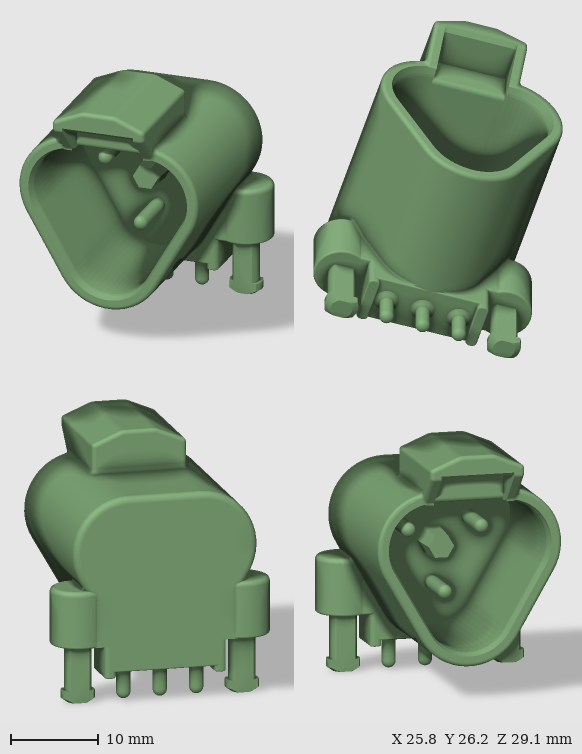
import cadquery as cq
import math


overall_height = 29.1

pin_half_pitch = 4.3
pin_radius = 0.8
pin_ring_radius = pin_half_pitch / math.cos(math.radians(30))
pin_tip_y = -12.22
pin_collar_radius = 1.4
pin_collar_height = 0.47

housing_length = 22.5
housing_corner_radius = 6.55
rear_round = 0.79
lip_round = 0.5
lip_width = 1.22
wall = 1.55
mouth_taper_depth = 1.05
mouth_blend_round = 1.15
floor_y = -5.65
housing_top = pin_ring_radius / 2 + housing_corner_radius
cavity_top = housing_top - wall

post_base_width = 3.05
post_tip_width = 2.6
post_height = 4.35

base_depth = 5.65
ear_x = 9.7
ear_y = -2.82
ear_radius = 3.2
ear_top = -1.77
ear_bottom = -8.47
web_top = -2.9
ear_top_round = 0.58
ear_bottom_round = 0.25
block_half_width = 7.15
block_bottom = -pin_ring_radius - housing_corner_radius
foot_bottom = -12.25
foot_width = 1.35
foot_round = 0.55
foot_edge_round = 0.17
blend_round = 0.23

leg_bottom = -15.3
leg_radius = 1.57
leg_thickness = 2.25
head_radius = 1.95
head_tip_radius = 1.25
head_height = 1.4
head_chamfer_height = 0.5

tab_top = leg_bottom + overall_height
tab_shoulder = 12.3
tab_half_width = 5.55
tab_half_flat = 2.0
tab_rear_y = -11.65
tab_front_y = -25.85
tab_nose_bottom = 11.17
tab_ridge_round = 1.75
tab_round = 0.5
tab_root_round = 0.5

recess_half_width = pin_half_pitch
recess_face_y = -20.95
recess_roof_front = 11.6
recess_chamfer_run = 0.58
recess_roof_rear = 11.17
recess_sill_round = 0.55


def prism_along_y(sketch_points, y_front, y_rear):
    """Extrude an X-Z polygon between two Y positions."""
    return (
        cq.Workplane("XZ", origin=(0, y_rear, 0))
        .polyline(sketch_points)
        .close()
        .extrude(y_rear - y_front)
    )


def box_between(x0, x1, y0, y1, z0, z1):
    """Axis-aligned box from its limits."""
    return cq.Workplane("XY").box(x1 - x0, y1 - y0, z1 - z0, centered=False).translate((x0, y0, z0))


def pin_positions():
    """(x, z) of the three pins: two above, one below."""
    upper_z = pin_ring_radius / 2
    return [(-pin_half_pitch, upper_z), (pin_half_pitch, upper_z), (0, -pin_ring_radius)]


def rounded_triangle(radius, y):
    """Outline at a constant distance from the pin triangle, on the X-Z plane at y."""
    upper_z = pin_ring_radius / 2
    c, s = math.cos(math.radians(30)), math.sin(math.radians(30))
    return (
        cq.Workplane("XZ", origin=(0, y, 0))
        .moveTo(-pin_half_pitch, upper_z + radius)
        .lineTo(pin_half_pitch, upper_z + radius)
        .threePointArc(
            (pin_half_pitch + radius * c, upper_z + radius * s),
            (pin_half_pitch + radius * c, upper_z - radius * s),
        )
        .lineTo(radius * c, -pin_ring_radius - radius * s)
        .threePointArc((0, -pin_ring_radius - radius), (-radius * c, -pin_ring_radius - radius * s))
        .lineTo(-pin_half_pitch - radius * c, upper_z - radius * s)
        .threePointArc(
            (-pin_half_pitch - radius * c, upper_z + radius * s),
            (-pin_half_pitch, upper_z + radius),
        )
        .close()
    )


def housing_shell():
    """Solid outer body with rounded rear and mouth edges."""
    body = rounded_triangle(housing_corner_radius, 0).extrude(housing_length)
    return body.faces(">Y").edges().fillet(rear_round).faces("<Y").edges().fillet(lip_round)


def cavity():
    """Straight bore with a wider, tapered mouth."""
    depth = housing_length + floor_y
    bore = rounded_triangle(housing_corner_radius - wall, floor_y).extrude(depth)
    taper_angle = math.degrees(math.atan((wall - lip_width) / mouth_taper_depth))
    mouth_y = -housing_length + mouth_taper_depth
    mouth = rounded_triangle(housing_corner_radius - wall, mouth_y).extrude(
        mouth_taper_depth, taper=-taper_angle
    )
    void = bore.union(mouth)
    reach = overall_height
    margin = 0.03
    seam = cq.selectors.BoxSelector(
        (-reach, mouth_y - margin, -reach), (reach, mouth_y + margin, reach), boundingbox=True
    )
    return void.edges(seam).fillet(mouth_blend_round)


def tab():
    """Overhanging latch tab with a gabled top and a 45 degree underside."""
    root_z = tab_nose_bottom - (-housing_length - tab_front_y)
    gable = [
        (-tab_half_width, 0),
        (-tab_half_width, tab_shoulder),
        (-tab_half_flat, tab_top),
        (tab_half_flat, tab_top),
        (tab_half_width, tab_shoulder),
        (tab_half_width, 0),
    ]
    side = [
        (tab_rear_y, tab_top),
        (tab_front_y, tab_top),
        (tab_front_y, tab_nose_bottom),
        (-housing_length, root_z),
        (tab_rear_y, root_z),
    ]
    front_shape = prism_along_y(gable, tab_front_y, tab_rear_y)
    front_shape = front_shape.edges("|Y and >Z").fillet(tab_ridge_round)
    side_shape = cq.Workplane("YZ").polyline(side).close().extrude(tab_half_width, both=True)
    solid = front_shape.intersect(side_shape)
    return solid.edges("not <Z").fillet(tab_round)


def housing_with_tab():
    """Housing and tab joined, with a rounded corner along the sides and rear of the tab root."""
    joined = housing_shell().union(tab())
    margin = 0.3
    root = cq.selectors.BoxSelector(
        (-tab_half_width - margin, -housing_length + lip_round, housing_top - margin),
        (tab_half_width + margin, tab_rear_y + margin, housing_top + margin),
    )
    return joined.edges(root).fillet(tab_root_round)


def latch_recess():
    """Pocket between the two tab ribs, open to the mouth and to the cavity."""
    outline = [
        (tab_front_y, recess_roof_front),
        (tab_front_y + recess_chamfer_run, recess_roof_rear),
        (recess_face_y, recess_roof_rear),
        (recess_face_y, cavity_top),
        (tab_front_y, cavity_top),
    ]
    pocket = cq.Workplane("YZ").polyline(outline).close().extrude(recess_half_width, both=True)
    r = recess_sill_round
    sill = box_between(
        -recess_half_width, recess_half_width,
        recess_face_y, recess_face_y + r,
        cavity_top, cavity_top + r,
    )
    sill_round = (
        cq.Workplane("YZ")
        .center(recess_face_y + r, cavity_top + r)
        .circle(r)
        .extrude(recess_half_width, both=True)
    )
    return pocket.union(sill.cut(sill_round))


def mounting_base():
    """Block under the housing with two ears and two foot rails."""
    upper = box_between(-ear_x, ear_x, -base_depth, 0, ear_bottom, web_top)
    upper = upper.edges("<Y and <Z").fillet(ear_bottom_round)
    block = box_between(-block_half_width, block_half_width, -base_depth, 0, block_bottom, web_top)
    block = block.edges("|Z").fillet(foot_round).faces("<Z").edges().fillet(foot_edge_round)
    base = upper.union(block)
    for side in (-1, 1):
        ear = (
            cq.Workplane("XY", origin=(side * ear_x, ear_y, ear_bottom))
            .circle(ear_radius)
            .extrude(ear_top - ear_bottom)
            .faces(">Z").edges().fillet(ear_top_round)
            .faces("<Z").edges().fillet(ear_bottom_round)
        )
        foot_x = side * (block_half_width - foot_width / 2)
        foot = box_between(
            foot_x - foot_width / 2, foot_x + foot_width / 2, -base_depth, 0, foot_bottom, web_top
        )
        foot = foot.edges("|Z").fillet(foot_round).faces("<Z").edges().fillet(foot_edge_round)
        base = base.union(ear).union(foot)
    return base


def snap_leg(side):
    """Round leg with a barbed head, flattened front and rear."""
    head_top = leg_bottom + head_height
    root_z = ear_bottom + ear_bottom_round
    outline = [
        (0, leg_bottom),
        (head_tip_radius, leg_bottom),
        (head_radius, leg_bottom + head_chamfer_height),
        (head_radius, head_top),
        (leg_radius, head_top),
        (leg_radius, root_z),
        (0, root_z),
    ]
    leg = cq.Workplane("XZ").polyline(outline).close().revolve(360, (0, 0), (0, 1))
    half = leg_thickness / 2
    flats = box_between(-head_radius, head_radius, -half, half, leg_bottom, 0)
    return leg.intersect(flats).translate((side * ear_x, ear_y, 0))


def base_blend():
    """Rounded inner corner where the ears and the web meet the housing wall."""
    overrun = 1.45
    over_rear = overrun
    over_bottom = foot_bottom - overrun
    wall_body = rounded_triangle(housing_corner_radius, over_rear).extrude(housing_length)
    support = box_between(-ear_x, ear_x, -base_depth, over_rear, over_bottom, web_top)
    for side in (-1, 1):
        x = side * ear_x
        ear = (
            cq.Workplane("XY", origin=(x, ear_y, over_bottom))
            .circle(ear_radius)
            .extrude(ear_top - over_bottom)
            .faces(">Z").edges().fillet(ear_top_round)
        )
        rear = box_between(x - ear_radius, x + ear_radius, ear_y, over_rear, over_bottom, ear_top)
        support = support.union(ear).union(rear)

    skin = wall_body.val().Shells()[0]
    touching = 0.003

    def on_wall(edge):
        beside_support = ear_y - ear_radius < edge.Center().y < 0
        middle = cq.Vertex.makeVertex(*edge.positionAt(0.5).toTuple())
        return beside_support and skin.distance(middle) < touching

    joined = wall_body.union(support)
    corners = [edge for edge in joined.edges().vals() if on_wall(edge)]
    rounded = joined.newObject(corners).fillet(blend_round)

    front = ear_y - ear_radius - blend_round
    clear_x = block_half_width - foot_round
    ear_zone = box_between(
        -ear_x, ear_x, front, -rear_round, ear_bottom + ear_bottom_round, ear_top + 2 * blend_round
    )
    block_zone = box_between(-clear_x, clear_x, front, -rear_round, block_bottom + foot_edge_round, 0)
    return rounded.intersect(ear_zone.union(block_zone))


def contact_pin(x, z):
    """Horizontal contact in the cavity with a domed tip."""
    dome_y = pin_tip_y + pin_radius
    shaft = cq.Workplane("XZ", origin=(x, ear_y, z)).circle(pin_radius).extrude(ear_y - dome_y)
    dome = cq.Workplane("XY", origin=(x, dome_y, z)).sphere(pin_radius)
    return shaft.union(dome)


def solder_tail(x):
    """Vertical tail below the block with a flared collar and a domed end."""
    r = pin_radius
    diagonal = r * math.sqrt(0.5)
    tail = (
        cq.Workplane("XZ")
        .moveTo(0, leg_bottom)
        .threePointArc((diagonal, leg_bottom + r - diagonal), (r, leg_bottom + r))
        .lineTo(r, block_bottom - pin_collar_height)
        .lineTo(pin_collar_radius, block_bottom)
        .lineTo(0, block_bottom)
        .close()
        .revolve(360, (0, 0), (0, 1))
    )
    return tail.translate((x, ear_y, 0))


def hex_post():
    """Tapered hexagonal post at the centre of the cavity floor."""
    taper = math.degrees(math.atan((post_base_width - post_tip_width) / 2 / post_height))
    corner_diameter = post_base_width / math.cos(math.radians(30))
    return (
        cq.Workplane("XZ", origin=(0, floor_y, 0))
        .polygon(6, corner_diameter)
        .extrude(post_height, taper=taper)
    )


outer = housing_with_tab().union(mounting_base()).union(base_blend())
result = outer.cut(cavity()).cut(latch_recess()).union(hex_post())
for pin_x, pin_z in pin_positions():
    result = result.union(contact_pin(pin_x, pin_z)).union(solder_tail(pin_x))
for leg_side in (-1, 1):
    result = result.union(snap_leg(leg_side))